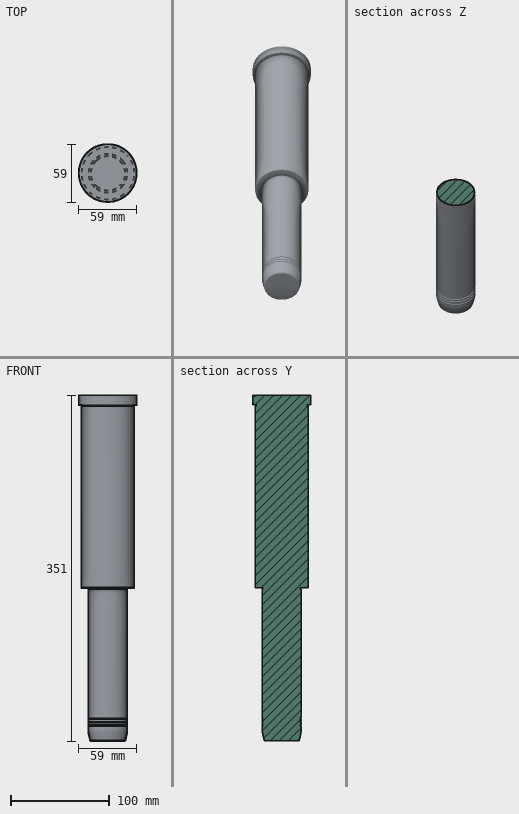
import cadquery as cq

total_height = 351.0
head_diameter = 59.0
head_height = 10.2
body_diameter = 54.0
body_edge_chamfer = 0.7
shoulder_height = 155.0
pin_diameter = 40.0

tip_diameter = 35.5
tip_height = 10.5
tip_arc_mid_diameter = 38.3
tip_arc_mid_height = tip_height / 2
tip_edge_chamfer = 0.7

lowest_groove_height = 15.8
groove_pitch = 3.5
groove_count = 3

groove_width = 1.0
groove_depth = 0.7


def cylinder(diameter, bottom, top):
    return cq.Workplane("XY").workplane(offset=bottom).circle(diameter / 2).extrude(top - bottom)


def rounded_tip():
    half_profile = (
        cq.Workplane("XZ")
        .lineTo(tip_diameter / 2, 0)
        .threePointArc((tip_arc_mid_diameter / 2, tip_arc_mid_height), (pin_diameter / 2, tip_height))
        .lineTo(0, tip_height)
        .close()
    )
    tip = half_profile.revolve(360, (0, 0, 0), (0, 1, 0))
    return tip.faces("<Z").edges().chamfer(tip_edge_chamfer)


def ring_groove(outer_diameter, bottom):
    top = bottom + groove_width
    core_diameter = outer_diameter - 2 * groove_depth
    return cylinder(outer_diameter, bottom, top).cut(cylinder(core_diameter, bottom, top))


head_bottom = total_height - head_height
body = cylinder(body_diameter, shoulder_height, head_bottom)
body = body.faces("<Z").edges().chamfer(body_edge_chamfer)

result = (
    rounded_tip()
    .union(cylinder(pin_diameter, tip_height, shoulder_height))
    .union(body)
    .union(cylinder(head_diameter, head_bottom, total_height))
)

result = result.cut(ring_groove(body_diameter, head_bottom - groove_width))
result = result.cut(ring_groove(pin_diameter, shoulder_height - groove_width))

for index in range(groove_count):
    groove_center = lowest_groove_height + index * groove_pitch
    result = result.cut(ring_groove(pin_diameter, groove_center - groove_width / 2))